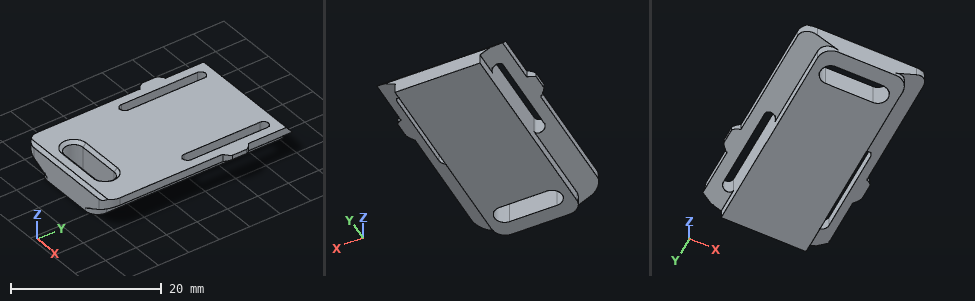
import cadquery as cq

LENGTH = 31.0
HEIGHT = 4.2
PLATE_WIDTH = 18.6
CORNER_RADIUS = 2.0

FOOT_WIDTH = 12.56
FOOT_HEIGHT = 1.5
FLARE_RUN_PER_RISE = 2.0

TAB_SPAN = 20.48
TAB_DISC_RADIUS = 2.4
TAB_DISC_X = 8.15
TAB_SETBACK_FROM_REAR = 10.0
TAB_CENTER_Y = LENGTH - TAB_SETBACK_FROM_REAR

FRONT_CHAMFER = 0.5
REAR_BEVEL_LENGTH = 1.65
REAR_BEVEL_DROP = 1.95

SIDE_SLOT_LENGTH = 14.0
SIDE_SLOT_WIDTH = 1.54
SIDE_SLOT_X = (FOOT_WIDTH + SIDE_SLOT_WIDTH) / 2
SIDE_SLOT_Y = TAB_CENTER_Y

CROSS_SLOT_LENGTH = 10.0
CROSS_SLOT_WIDTH = 3.0
CROSS_SLOT_Y = 3.8
CROSS_SLOT_CHAMFER = 0.5
CROSS_SLOT_CHAMFER_ANGLE = 45.0


def front_rounded_block(width, height):
    """Full-length block with its two front vertical corners rounded."""
    block = cq.Workplane("XY").box(width, LENGTH, height, centered=(True, False, False))
    return block.faces("<Y").edges("|Z").fillet(CORNER_RADIUS)


def tab(side):
    """Disc standing out past one side of the plate, cut flat at the tab tip."""
    disc = cq.Workplane("XY").center(side * TAB_DISC_X, TAB_CENTER_Y).circle(TAB_DISC_RADIUS).extrude(HEIGHT)
    span_block = cq.Workplane("XY").box(TAB_SPAN, LENGTH, HEIGHT, centered=(True, False, False))
    return disc.intersect(span_block)


def flare_envelope():
    """Prism that widens upward and passes through the upper edges of the foot sides."""
    top_half = FOOT_WIDTH / 2 + (HEIGHT - FOOT_HEIGHT) * FLARE_RUN_PER_RISE
    bottom_half = FOOT_WIDTH / 2 - FOOT_HEIGHT * FLARE_RUN_PER_RISE
    section = [(-bottom_half, 0), (bottom_half, 0), (top_half, HEIGHT), (-top_half, HEIGHT)]
    return cq.Workplane("XZ").polyline(section).close().extrude(-LENGTH)


def end_bevel(end_y, inner_y, drop):
    """Triangular cutter that slopes the top face down to one end."""
    section = [(inner_y, HEIGHT), (end_y, HEIGHT), (end_y, HEIGHT - drop)]
    return cq.Workplane("YZ").polyline(section).close().extrude(PLATE_WIDTH / 2, both=True)


def through_slot(x, y, length, width, angle=0):
    """Round-ended cutter through the full height."""
    return cq.Workplane("XY").center(x, y).slot2D(length, width, angle).extrude(HEIGHT)


def cross_slot_mouth():
    """Tapered round-ended cutter that chamfers the top rim of the cross slot."""
    mouth_length = CROSS_SLOT_LENGTH + 2 * CROSS_SLOT_CHAMFER
    mouth_width = CROSS_SLOT_WIDTH + 2 * CROSS_SLOT_CHAMFER
    rim = cq.Workplane("XY", origin=(0, CROSS_SLOT_Y, HEIGHT)).slot2D(mouth_length, mouth_width)
    return rim.extrude(-CROSS_SLOT_CHAMFER, taper=CROSS_SLOT_CHAMFER_ANGLE)


plate = front_rounded_block(PLATE_WIDTH, HEIGHT).union(tab(-1)).union(tab(1))
body = plate.intersect(flare_envelope())
body = body.union(front_rounded_block(FOOT_WIDTH, FOOT_HEIGHT))

body = body.cut(end_bevel(0, FRONT_CHAMFER, FRONT_CHAMFER))
body = body.cut(end_bevel(LENGTH, LENGTH - REAR_BEVEL_LENGTH, REAR_BEVEL_DROP))

for slot_x in (-SIDE_SLOT_X, SIDE_SLOT_X):
    body = body.cut(through_slot(slot_x, SIDE_SLOT_Y, SIDE_SLOT_LENGTH, SIDE_SLOT_WIDTH, 90))

body = body.cut(through_slot(0, CROSS_SLOT_Y, CROSS_SLOT_LENGTH, CROSS_SLOT_WIDTH))
result = body.cut(cross_slot_mouth())